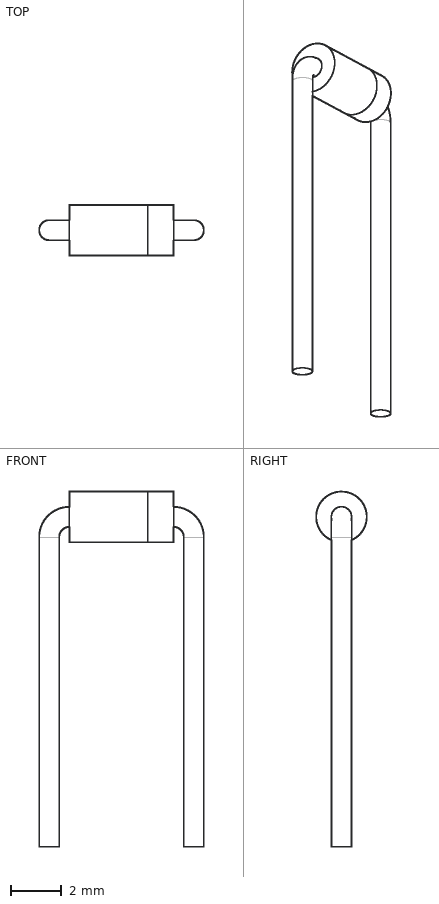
import cadquery as cq

total_height = 14.0
body_diameter = 2.0
lead_diameter = 0.8
lead_pitch = 5.7
bend_radius = 0.8
band_length = 1.02

axis_height = total_height - body_diameter / 2
leg_length = axis_height - bend_radius
half_length = lead_pitch / 2 - bend_radius
band_start = half_length - band_length


def make_barrel(start_x, end_x):
    """Solid cylinder along the component axis between two X positions."""
    return (
        cq.Workplane("YZ", origin=(start_x, 0, axis_height))
        .circle(body_diameter / 2)
        .extrude(end_x - start_x)
    )


def make_lead(side):
    """Straight leg and quarter bend up to an end face; side is -1 or +1 along X."""
    leg_x = side * lead_pitch / 2
    leg = cq.Workplane("XY", origin=(leg_x, 0, 0)).circle(lead_diameter / 2).extrude(leg_length)
    bend = (
        cq.Workplane("XY", origin=(leg_x, 0, leg_length))
        .circle(lead_diameter / 2)
        .revolve(90, (-side * bend_radius, 0, 0), (-side * bend_radius, -side, 0))
    )
    return leg.union(bend)


housing = make_barrel(-half_length, band_start)
band = make_barrel(band_start, half_length)
leads = [make_lead(side) for side in (-1, 1)]

result = cq.Compound.makeCompound([housing.val(), band.val(), *[lead.val() for lead in leads]])